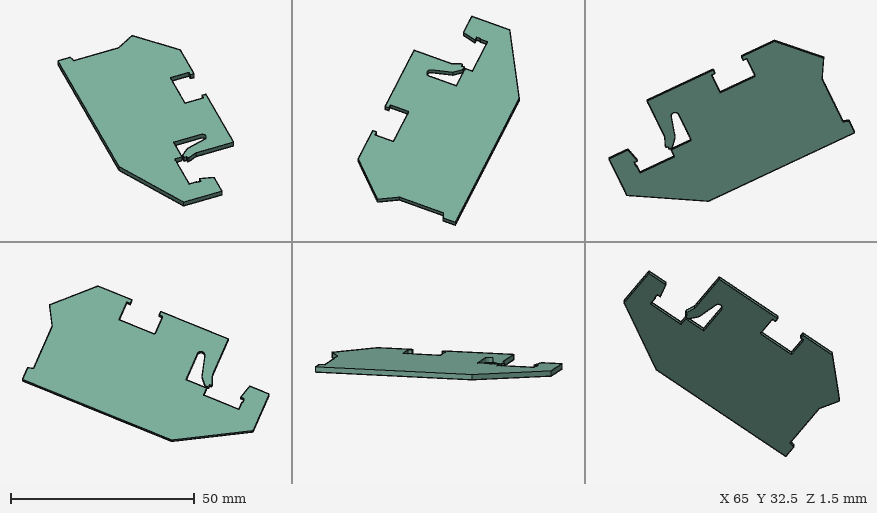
import cadquery as cq

length = 64.95
height = 32.5
thickness = 1.5

nose_chamfer = 10.1
nose_y = height - nose_chamfer
left_wall_x = 3.0
left_wall_top = 17.2
foot_x = 1.4
foot_inner_y = 4.1
foot_outer_y = 3.65

bevel_start_x = 45.6
bevel_end_y = 11.1

slot_left = 19.05
slot_right = 29.6
slot_floor = 25.9
lip_overhang = 1.05
lip_thickness = 1.1

body_right = 48.6
channel_floor = 15.2
channel_right = 59.0
catch_y = 18.5
hook_tip_x = 58.15
hook_root_x = 59.2

relief_left = 42.5
relief_floor = 17.35
relief_top = 26.4
relief_radius = 1.05
relief_right_x = 44.55
relief_right_y = 25.6
finger_bend = (46.1, 19.9)
finger_end_left = 48.0
finger_end_right = 49.0
finger_end_y = 17.75
barb_x = 49.55
barb_top = 19.05
barb_start_y = 21.4


def plate_blank():
    """Plate outline without the top slot, including finger and rail channel."""
    outline = (
        cq.Workplane("XY")
        .moveTo(foot_x, 0)
        .lineTo(bevel_start_x, 0)
        .lineTo(length, bevel_end_y)
        .lineTo(length, nose_y)
        .lineTo(hook_root_x, nose_y)
        .lineTo(hook_tip_x, catch_y)
        .lineTo(hook_root_x, catch_y)
        .lineTo(hook_root_x, relief_floor)
        .lineTo(channel_right, relief_floor)
        .lineTo(channel_right, channel_floor)
        .lineTo(body_right, channel_floor)
        .lineTo(body_right, relief_floor)
        .lineTo(relief_left, relief_floor)
        .lineTo(relief_left, relief_top - relief_radius)
        .threePointArc(
            (relief_left + relief_radius, relief_top),
            (relief_right_x, relief_right_y),
        )
        .lineTo(*finger_bend)
        .lineTo(finger_end_left, finger_end_y)
        .lineTo(finger_end_right, finger_end_y)
        .lineTo(finger_end_right, catch_y)
        .lineTo(barb_x, catch_y)
        .lineTo(barb_x, barb_top)
        .lineTo(body_right, barb_start_y)
        .lineTo(body_right, height)
        .lineTo(nose_chamfer, height)
        .lineTo(0, nose_y)
        .lineTo(left_wall_x, left_wall_top)
        .lineTo(left_wall_x, foot_inner_y)
        .lineTo(foot_x, foot_outer_y)
        .close()
    )
    return outline.extrude(thickness)


def corner_box(x_min, x_max, y_min, y_max):
    """Box through the plate thickness between two corners."""
    return (
        cq.Workplane("XY")
        .moveTo(x_min, y_min)
        .lineTo(x_max, y_min)
        .lineTo(x_max, y_max)
        .lineTo(x_min, y_max)
        .close()
        .extrude(thickness)
    )


def top_slot():
    """Wide slot with a narrower mouth left between two lips."""
    cavity = corner_box(slot_left, slot_right, slot_floor, height - lip_thickness)
    mouth = corner_box(slot_left + lip_overhang, slot_right - lip_overhang, slot_floor, height)
    return cavity.union(mouth)


result = plate_blank().cut(top_slot())